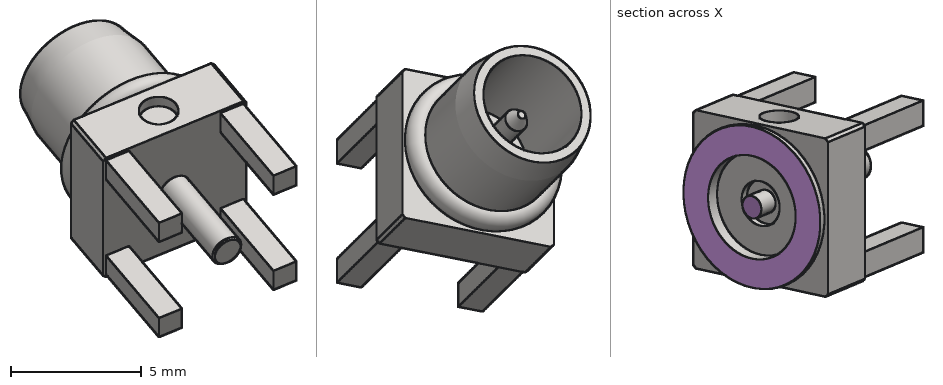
import cadquery as cq

mouth_x = 0.0
taper_end_x = 1.24
collar_front_x = 4.09
block_front_x = 5.07
block_back_x = 7.5
tail_x = 11.48

barrel_radius = 2.66
mouth_radius = 2.45
bore_radius = 2.05
collar_radius = 3.25
collar_round = (block_front_x - collar_front_x) / 2

block_width = 6.36
block_chamfer = 0.13
leg_width = 1.02
leg_outer = block_width / 2 - block_chamfer
leg_center = leg_outer - leg_width / 2
side_hole_radius = 0.76
side_hole_depth = 0.5

recess_radius = 0.9
recess_depth = 0.35

pin_tip_x = 1.0
pin_tip_radius = 0.16
pin_cone_length = 0.52
pin_front_radius = 0.46
pin_rear_radius = 0.64
pin_tail_chamfer = 0.07

bore_floor_x = block_front_x
recess_floor_x = bore_floor_x + recess_depth


def cylinder(start_x, end_x, radius):
    """Cylinder on the X axis between two stations."""
    return cq.Workplane("YZ", origin=(start_x, 0, 0)).circle(radius).extrude(end_x - start_x)


def make_barrel():
    """Tapered barrel with a full-round collar, revolved about X."""
    flat_radius = collar_radius - collar_round
    return (
        cq.Workplane("XY")
        .moveTo(mouth_x, 0)
        .lineTo(mouth_x, mouth_radius)
        .lineTo(taper_end_x, barrel_radius)
        .lineTo(collar_front_x, barrel_radius)
        .lineTo(collar_front_x, flat_radius)
        .threePointArc((collar_front_x + collar_round, collar_radius), (block_front_x, flat_radius))
        .lineTo(block_front_x, 0)
        .close()
        .revolve(360, (0, 0, 0), (1, 0, 0))
    )


def make_block():
    """Square block with its four lengthwise edges chamfered."""
    return (
        cq.Workplane("YZ", origin=(block_front_x, 0, 0))
        .rect(block_width, block_width)
        .extrude(block_back_x - block_front_x)
        .edges("|X")
        .chamfer(block_chamfer)
    )


def make_legs():
    """Four square legs behind the block, one near each corner."""
    return (
        cq.Workplane("YZ", origin=(block_back_x, 0, 0))
        .rect(2 * leg_center, 2 * leg_center, forConstruction=True)
        .vertices()
        .rect(leg_width, leg_width)
        .extrude(tail_x - block_back_x)
    )


def make_side_hole():
    """Blind round hole in the middle of the block's top face."""
    center_x = (block_front_x + block_back_x) / 2
    return (
        cq.Workplane("XY", origin=(center_x, 0, block_width / 2))
        .circle(side_hole_radius)
        .extrude(-side_hole_depth)
    )


def make_housing():
    """Barrel, block and legs in one piece, bored and pierced for the pin."""
    housing = make_barrel().union(make_block()).union(make_legs())
    housing = housing.cut(cylinder(mouth_x, bore_floor_x, bore_radius))
    housing = housing.cut(cylinder(bore_floor_x, recess_floor_x, recess_radius))
    housing = housing.cut(make_side_hole())
    housing = housing.cut(cylinder(recess_floor_x, block_back_x, pin_front_radius))
    return housing


def make_pin():
    """Contact pin: blunt cone tip, shank through the block, thicker chamfered tail."""
    return (
        cq.Workplane("XY")
        .moveTo(pin_tip_x, 0)
        .lineTo(pin_tip_x, pin_tip_radius)
        .lineTo(pin_tip_x + pin_cone_length, pin_front_radius)
        .lineTo(block_back_x, pin_front_radius)
        .lineTo(block_back_x, pin_rear_radius)
        .lineTo(tail_x - pin_tail_chamfer, pin_rear_radius)
        .lineTo(tail_x, pin_rear_radius - pin_tail_chamfer)
        .lineTo(tail_x, 0)
        .close()
        .revolve(360, (0, 0, 0), (1, 0, 0))
    )


housing = make_housing()
pin = make_pin()
result = cq.Compound.makeCompound([housing.val(), pin.val()])